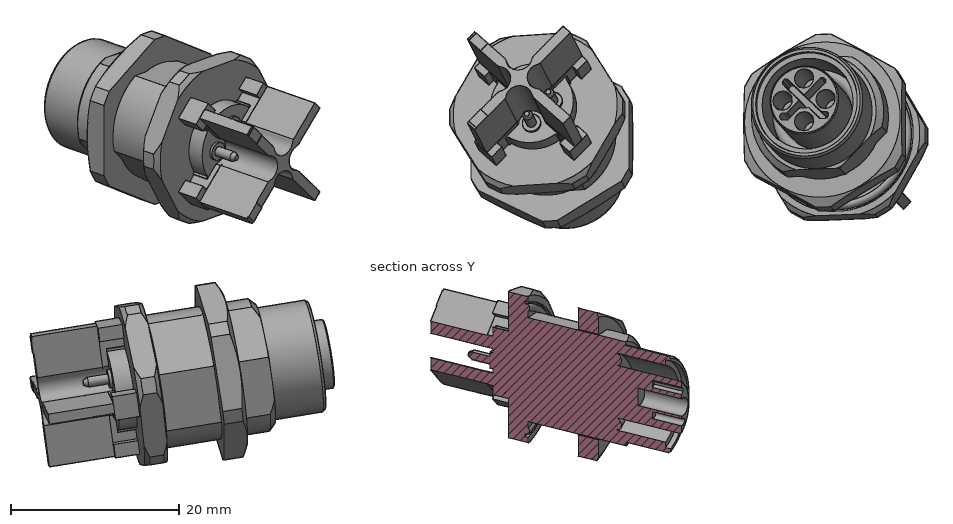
import cadquery as cq
import math

QUARTER_TURNS = (0, 90, 180, 270)
DIAGONALS = (45, 135, 225, 315)

NOSE_RADIUS = 8.3 / 2
NOSE_CHAMFER = 0.15
CONTACT_CIRCLE_RADIUS = 2.6
SOCKET_DIAMETER = 2.3
SOCKET_DEPTH = 6.0
SLOT_DEPTH = 4.0
SLOT_WIDTH = 0.82
SLOT_EXTENT = 2.6
SLOT_CORNER_CHAMFER = 0.25
SLOT_SHOULDER = 1.5
SLOT_FOOT_HEIGHT = 0.85
SLOT_FOOT_END = 2.95
SLOT_BRIDGE_HALF_WIDTH = 0.6
SLOT_BRIDGE_DEPTH = 0.98

COLLAR_START = 1.5
COLLAR_RADIUS = 13.5 / 2
COLLAR_CHAMFER_LENGTH = 0.34
COLLAR_FACE_RADIUS = 6.5
MOUTH_RADIUS = 12.3 / 2
MOUTH_DEPTH = 0.7
BORE_RADIUS = 11 / 2
BORE_END = 9.0

BODY_START = 7.7
BODY_RADIUS = 8.0
BODY_CHAMFER = 0.77
FLAT_DISTANCE = 6.8
FLAT_ANGLES = (45, 90, 225, 270)

HALF_HEX_ANGLE = 30
ACROSS_FLATS = 19.07
FRONT_NUT_START = 11.5
FRONT_NUT_THICKNESS = 2.85
FRONT_NUT_ACROSS_CORNERS = 20.99
FRONT_NUT_FACE_RADIUS = 9.42
FRONT_NUT_CHAMFER = 0.55
FRONT_NUT_BORE_RADIUS = 7.22
REAR_NUT_START = 21.26
REAR_NUT_THICKNESS = 2.79
REAR_NUT_ACROSS_CORNERS = 20.89
REAR_NUT_FACE_RADIUS = 9.9
REAR_NUT_CHAMFER = 0.53
REAR_NUT_END = REAR_NUT_START + REAR_NUT_THICKNESS

SEAL_INNER_RADIUS = 7.9
SEAL_OUTER_RADIUS = 8.85
SEAL_PROTRUSION = 0.21
SEAL_RECESS_RADIUS = 9.1
SEAL_RECESS_DEPTH = 0.45

TOTAL_LENGTH = 34.95
END_PAD_LENGTH = 0.1
END_PAD_INNER = 5.9
END_PAD_OUTER = 7.9
SHIELD_REACH = 8.17
SHIELD_THICKNESS = 1.25
FLUTE_RADIUS = 1.6
FLUTE_EDGE_CHAMFER = 0.12
SHIELD_HUB_RADIUS = 1.2
SHOULDER_END = 26.97
SHOULDER_THICKNESS = 2.96
ROOT_THICKNESS = 1.35
SHOULDER_INNER = 6.43
SHOULDER_OUTER = 8.125

CORE_END = 26.24
CORE_RADIUS = 5.0
CORE_ARM_THICKNESS = 1.72
CORE_ARM_REACH = 5.22
PIN_FLANGE_DIAMETER = 2.2
PIN_FLANGE_END = 26.6
PIN_DIAMETER = 1.2
PIN_END = 29.62
PIN_TIP_LENGTH = 0.55
PIN_TIP_CHAMFER = 0.3


def section(x):
    """Sketch plane across the axis: local x is Y, local y is Z."""
    return cq.Workplane("YZ", origin=(x, 0, 0))


def cylinder(start, end, radius):
    return section(start).circle(radius).extrude(end - start)


def turned(profile):
    """Revolve a list of (x, radius) points about the axis."""
    return cq.Workplane("XY").polyline(profile).close().revolve(360, (0, 0, 0), (1, 0, 0))


def ring_of_round_section(center_x, center_radius, wire_radius):
    return (
        cq.Workplane("XY")
        .center(center_x, center_radius)
        .circle(wire_radius)
        .revolve(360, (0, -center_radius, 0), (1, -center_radius, 0))
    )


def contact_points():
    return [
        (
            CONTACT_CIRCLE_RADIUS * math.cos(math.radians(angle)),
            CONTACT_CIRCLE_RADIUS * math.sin(math.radians(angle)),
        )
        for angle in QUARTER_TURNS
    ]


def diagonal_bars(start, end, inner, outer, thickness):
    """Four radial bars on the diagonals between two distances from the axis."""
    length = outer - inner
    bar = section(start).center((inner + outer) / 2, 0).rect(length, thickness).extrude(end - start)
    bars = cq.Workplane("XY")
    for angle in DIAGONALS:
        bars = bars.add(bar.rotate((0, 0, 0), (1, 0, 0), angle))
    return bars.combine()


def cross_slot():
    spread = SLOT_WIDTH / math.sqrt(2)
    tip = SLOT_EXTENT
    cut = SLOT_CORNER_CHAMFER
    foot_radius = SLOT_FOOT_HEIGHT / 2
    foot_bottom = SLOT_SHOULDER + SLOT_FOOT_HEIGHT
    foot_center = SLOT_FOOT_END - foot_radius
    bottom_turn = SLOT_BRIDGE_HALF_WIDTH + foot_bottom - SLOT_BRIDGE_DEPTH
    return (
        section(0)
        .moveTo(0, spread)
        .lineTo(tip - spread, tip)
        .lineTo(tip - cut, tip)
        .lineTo(tip, tip - cut)
        .lineTo(tip, tip - spread)
        .lineTo(spread, 0)
        .lineTo(spread + SLOT_SHOULDER, -SLOT_SHOULDER)
        .lineTo(foot_center, -SLOT_SHOULDER)
        .threePointArc((SLOT_FOOT_END, -SLOT_SHOULDER - foot_radius), (foot_center, -foot_bottom))
        .lineTo(bottom_turn, -foot_bottom)
        .lineTo(SLOT_BRIDGE_HALF_WIDTH, -SLOT_BRIDGE_DEPTH)
        .lineTo(0, -SLOT_BRIDGE_DEPTH)
        .mirrorY()
        .extrude(SLOT_DEPTH)
    )


def nose():
    carrier = cylinder(0, BORE_END, NOSE_RADIUS).faces("<X").chamfer(NOSE_CHAMFER)
    sockets = section(0).pushPoints(contact_points()).circle(SOCKET_DIAMETER / 2).extrude(SOCKET_DEPTH)
    return carrier.cut(sockets).cut(cross_slot())


def nose_seal():
    wire_radius = (BORE_RADIUS - NOSE_RADIUS) / 2
    return ring_of_round_section(BORE_END, NOSE_RADIUS + wire_radius, wire_radius)


def flatted_body():
    end = REAR_NUT_END
    body = turned([
        (BODY_START, 0),
        (BODY_START, BODY_RADIUS - BODY_CHAMFER),
        (BODY_START + BODY_CHAMFER, BODY_RADIUS),
        (end, BODY_RADIUS),
        (end, 0),
    ])
    for angle in FLAT_ANGLES:
        waste = (
            section(BODY_START)
            .center(FLAT_DISTANCE + BODY_RADIUS / 2, 0)
            .rect(BODY_RADIUS, 2 * BODY_RADIUS)
            .extrude(end - BODY_START)
        )
        body = body.cut(waste.rotate((0, 0, 0), (1, 0, 0), angle))
    return body


def housing():
    collar = turned([
        (COLLAR_START, 0),
        (COLLAR_START, COLLAR_FACE_RADIUS),
        (COLLAR_START + COLLAR_CHAMFER_LENGTH, COLLAR_RADIUS),
        (BODY_START, COLLAR_RADIUS),
        (BODY_START, 0),
    ])
    mouth = cylinder(COLLAR_START, COLLAR_START + MOUTH_DEPTH, MOUTH_RADIUS)
    bore = cylinder(COLLAR_START, BORE_END, BORE_RADIUS)
    return collar.union(flatted_body()).cut(mouth).cut(bore)


def hexagon(start, thickness, across_flats, first_corner_angle):
    across_corners = across_flats / math.cos(math.radians(HALF_HEX_ANGLE))
    prism = section(start).polygon(6, across_corners).extrude(thickness)
    return prism.rotate((0, 0, 0), (1, 0, 0), first_corner_angle)


def nut(start, thickness, across_corners, corner_angle, face_radius, front_chamfer, rear_chamfer):
    """Hexagon nut with flattened corners and turned chamfers."""
    rim = across_corners / 2
    slope = (rim - face_radius) / front_chamfer
    outer = across_corners / math.cos(math.radians(HALF_HEX_ANGLE)) / 2
    run = (outer - face_radius) / slope
    end = start + thickness
    profile = [(start, 0), (start, face_radius), (start + run, outer)]
    if rear_chamfer:
        profile += [(end - run, outer), (end, face_radius)]
    else:
        profile += [(end, outer)]
    profile += [(end, 0)]
    flats = hexagon(start, thickness, ACROSS_FLATS, corner_angle)
    corners = hexagon(start, thickness, across_corners, corner_angle + HALF_HEX_ANGLE)
    return flats.intersect(corners).intersect(turned(profile))


def front_nut():
    """Nut whose thread bore leaves a gap over the body flats."""
    solid_nut = nut(
        FRONT_NUT_START, FRONT_NUT_THICKNESS, FRONT_NUT_ACROSS_CORNERS, 90,
        FRONT_NUT_FACE_RADIUS, FRONT_NUT_CHAMFER, False,
    )
    bore = cylinder(FRONT_NUT_START, FRONT_NUT_START + FRONT_NUT_THICKNESS, FRONT_NUT_BORE_RADIUS)
    return solid_nut.cut(bore)


def rear_nut():
    """Nut with a shallow ring recess for the sealing ring in its front face."""
    solid_nut = nut(
        REAR_NUT_START, REAR_NUT_THICKNESS, REAR_NUT_ACROSS_CORNERS, 0,
        REAR_NUT_FACE_RADIUS, REAR_NUT_CHAMFER, True,
    )
    recess = (
        section(REAR_NUT_START)
        .circle(SEAL_RECESS_RADIUS)
        .circle(BODY_RADIUS)
        .extrude(SEAL_RECESS_DEPTH)
    )
    return solid_nut.cut(recess)


def rear_nut_seal():
    wire_radius = (SEAL_OUTER_RADIUS - SEAL_INNER_RADIUS) / 2
    center_x = REAR_NUT_START - SEAL_PROTRUSION + wire_radius
    return ring_of_round_section(center_x, SEAL_INNER_RADIUS + wire_radius, wire_radius)


def fluted_cross(start, end, reach, thickness):
    """Diagonal cross with a round flute along each contact and broken flute edges."""
    flutes = section(start).pushPoints(contact_points()).circle(FLUTE_RADIUS).extrude(end - start)
    cross = (
        diagonal_bars(start, end, 0, reach, thickness)
        .union(cylinder(start, end, SHIELD_HUB_RADIUS))
        .cut(flutes)
    )

    def is_outer_flute_edge(edge):
        center = edge.Center()
        return CONTACT_CIRCLE_RADIUS < math.hypot(center.y, center.z) < reach / 2

    return cross.edges("|X").filter(is_outer_flute_edge).chamfer(FLUTE_EDGE_CHAMFER)


def end_pads(start):
    """Pads on the ends of the two arms on the -Y side."""
    pads = diagonal_bars(start, TOTAL_LENGTH, END_PAD_INNER, END_PAD_OUTER, SHIELD_THICKNESS)
    negative_y_side = (
        section(start)
        .center(-SHIELD_REACH, 0)
        .rect(2 * SHIELD_REACH, 2 * SHIELD_REACH)
        .extrude(END_PAD_LENGTH)
    )
    return pads.intersect(negative_y_side)


def shielding_cross():
    cross_end = TOTAL_LENGTH - END_PAD_LENGTH
    root = fluted_cross(REAR_NUT_END, SHOULDER_END, SHOULDER_OUTER, ROOT_THICKNESS)
    arms = fluted_cross(SHOULDER_END, cross_end, SHIELD_REACH, SHIELD_THICKNESS)
    shoulders = diagonal_bars(
        REAR_NUT_END, SHOULDER_END, SHOULDER_INNER, SHOULDER_OUTER, SHOULDER_THICKNESS
    )
    return root.union(arms).union(shoulders).union(end_pads(cross_end))


def core():
    arms = diagonal_bars(REAR_NUT_END, CORE_END, 0, CORE_ARM_REACH, CORE_ARM_THICKNESS)
    return cylinder(REAR_NUT_END, CORE_END, CORE_RADIUS).union(arms)


def contact_pins():
    flanges = (
        section(CORE_END)
        .pushPoints(contact_points())
        .circle(PIN_FLANGE_DIAMETER / 2)
        .extrude(PIN_FLANGE_END - CORE_END)
    )
    pins = (
        section(CORE_END)
        .pushPoints(contact_points())
        .circle(PIN_DIAMETER / 2)
        .extrude(PIN_END - CORE_END)
        .faces(">X")
        .edges()
        .chamfer(PIN_TIP_LENGTH, PIN_TIP_CHAMFER)
    )
    return flanges.union(pins)


result = housing()
for component in (
    nose(), nose_seal(), front_nut(), rear_nut(), rear_nut_seal(),
    shielding_cross(), core(), contact_pins(),
):
    result = result.union(component)